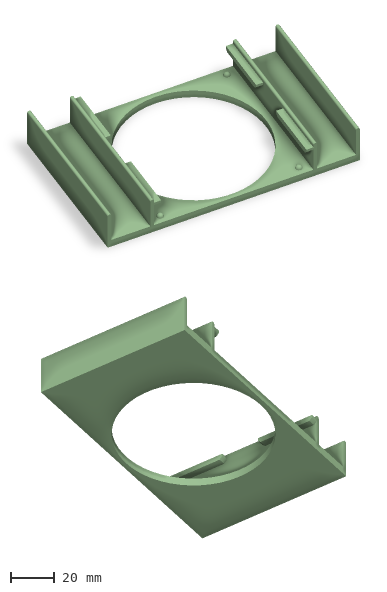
import cadquery as cq

width = 80.0
length = 130.0
height = 20.0
base_thickness = 4.0
opening_diameter = 75.0

wall_thickness = 2.0
wall_pitch = 22.0
wall_tip_radius = 0.9

lip_length = 30.0
lip_height = 2.9
lip_depth = 3.6
lip_top = 17.8
lip_end_bevel = 1.4

dome_radius = 1.7
dome_spacing = 71.5

outer_wall_y = (length - wall_thickness) / 2
inner_wall_y = outer_wall_y - wall_pitch
inner_face_y = inner_wall_y - wall_thickness / 2


def make_base():
    plate = cq.Workplane("XY").box(width, length, base_thickness, centered=(True, True, False))
    return plate.faces(">Z").workplane().hole(opening_diameter)


def make_wall(y):
    """Full-width wall centred on y, with its two top edges rounded."""
    wall = cq.Workplane("XY").box(width, wall_thickness, height, centered=(True, True, False))
    return wall.faces(">Z").edges("|X").fillet(wall_tip_radius).translate((0, y, 0))


def make_lip(x_side, y_side):
    """Lip with bevels under both ends, reaching from an inner wall towards the opening."""
    lip_x = x_side * (width - lip_length) / 2
    lip_z = lip_top - lip_height / 2
    depth = lip_depth + wall_thickness / 2
    lip_y = y_side * (inner_face_y - lip_depth + depth / 2)
    lip = cq.Workplane("XY").box(lip_length, depth, lip_height)
    lip = lip.faces("<Z").edges("|Y").chamfer(lip_end_bevel)
    return lip.translate((lip_x, lip_y, lip_z))


def make_dome(x_side, y_side):
    """Ball half sunk into the base."""
    ball = cq.Workplane("XY").sphere(dome_radius)
    return ball.translate((x_side * dome_spacing / 2, y_side * dome_spacing / 2, base_thickness))


result = make_base()
for y_side in (-1, 1):
    for wall_y in (outer_wall_y, inner_wall_y):
        result = result.union(make_wall(y_side * wall_y))
    for x_side in (-1, 1):
        result = result.union(make_lip(x_side, y_side))
        result = result.union(make_dome(x_side, y_side))